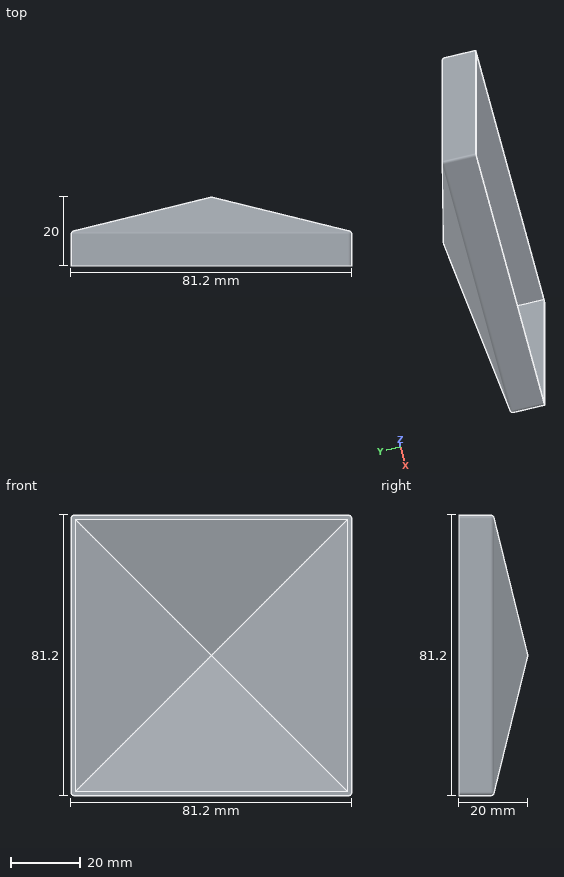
import cadquery as cq

side = 81.2
total_height = 20.0
skirt_height = 10.0
wall = 1.2
ceiling_drop = 1.2
edge_radius = 1.0

inner_side = side - 2 * wall
roof_rise = total_height - skirt_height
inner_rise = roof_rise * inner_side / side


def square_block(width, depth):
    """Square block from the open face at y = 0 toward +Y."""
    return cq.Workplane("XZ").rect(width, width).extrude(-depth)


def pyramid(width, base_y, rise):
    """Square pyramid standing on the plane y = base_y, apex toward +Y."""
    half = width / 2
    corners = [
        cq.Vector(x, base_y, z)
        for x, z in ((-half, -half), (half, -half), (half, half), (-half, half))
    ]
    apex = cq.Vector(0, base_y + rise, 0)
    faces = [cq.Face.makeFromWires(cq.Wire.makePolygon(corners, close=True))]
    for i, corner in enumerate(corners):
        triangle = [corner, corners[(i + 1) % len(corners)], apex]
        faces.append(cq.Face.makeFromWires(cq.Wire.makePolygon(triangle, close=True)))
    return cq.Workplane(obj=cq.Solid.makeSolid(cq.Shell.makeShell(faces)))


body = square_block(side, skirt_height).union(pyramid(side, skirt_height, roof_rise))
upright_edges = body.edges("|Y")
eave_edges = body.edges("|X or |Z").edges(">Y")
body = upright_edges.add(eave_edges).fillet(edge_radius)

ceiling_base = total_height - ceiling_drop - inner_rise
cavity = square_block(inner_side, ceiling_base).union(
    pyramid(inner_side, ceiling_base, inner_rise)
)

result = body.cut(cavity)